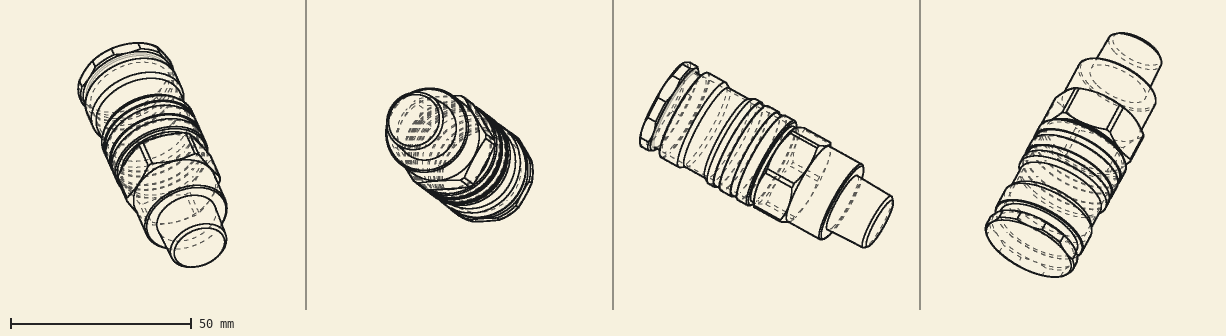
import cadquery as cq
import math

TOTAL_LENGTH = 69.65

CORNER_R = 13.5
HEX_SIDES = 6

NUT_LENGTH = 3.5
NUT_FLAT_R = 12.95
NUT_CHAMFER = 0.5
NUT_FACE_R = 12.95

NECK_R = 23.7 / 2
NECK_FILLET = 0.35
HEX_START = 36.2
HEX_END = 46.65
HEX_FLAT_R = 24.0 / 2
HEX_CHAMFER_ANGLE = 30.0
SHOULDER_R = 23.8 / 2
SHOULDER_END = 57.6
SHOULDER_CHAMFER = 0.4

SPIGOT_BASE_R = 8.6
SPIGOT_TIP_R = 8.15
SPIGOT_CHAMFER = 0.85

SLEEVE_START = 6.55
SLEEVE_END = 35.1
SLEEVE_R = 26.8 / 2
SLEEVE_START_CHAMFER = 0.2
SLEEVE_END_CHAMFER = 0.4
WAIST_R = 25.0 / 2
WAIST_START = 12.5
WAIST_END = 22.0
WAIST_SLOPE = 1.45
GROOVE_R = 26.0 / 2
GROOVE_WIDTH = 2.0
GROOVE_STARTS = (23.95, 29.45)


def revolve_about_x(outline):
    """Close an outline drawn in the XY plane and turn it about the X axis."""
    return outline.close().revolve(360, (0, 0, 0), (1, 0, 0))


def hexagon_bar(start, end, flat_r):
    """Hexagonal bar along X with two of its flats facing up and down."""
    corner_diameter = 2 * flat_r / math.cos(math.pi / HEX_SIDES)
    return cq.Workplane("YZ", origin=(start, 0, 0)).polygon(HEX_SIDES, corner_diameter).extrude(end - start)


def turned_blank(start, end, end_r, chamfer):
    """Disc of the corner radius, chamfered down to end_r at both ends."""
    return revolve_about_x(
        cq.Workplane("XY")
        .moveTo(start, 0)
        .lineTo(start, end_r)
        .lineTo(start + chamfer, CORNER_R)
        .lineTo(end - chamfer, CORNER_R)
        .lineTo(end, end_r)
        .lineTo(end, 0)
    )


def make_nut_end():
    blank = turned_blank(0, NUT_LENGTH, NUT_FACE_R, NUT_CHAMFER)
    return blank.intersect(hexagon_bar(0, NUT_LENGTH, NUT_FLAT_R))


def make_hexagon():
    chamfer = (CORNER_R - SHOULDER_R) * math.tan(math.radians(HEX_CHAMFER_ANGLE))
    blank = turned_blank(HEX_START, HEX_END, SHOULDER_R, chamfer)
    return blank.intersect(hexagon_bar(HEX_START, HEX_END, HEX_FLAT_R))


def make_shaft():
    """Neck, shoulder and tapered spigot in one turned profile."""
    return revolve_about_x(
        cq.Workplane("XY")
        .moveTo(NUT_LENGTH, 0)
        .lineTo(NUT_LENGTH, NECK_R + NECK_FILLET)
        .radiusArc((NUT_LENGTH + NECK_FILLET, NECK_R), -NECK_FILLET)
        .lineTo(HEX_END, NECK_R)
        .lineTo(HEX_END, SHOULDER_R)
        .lineTo(SHOULDER_END - SHOULDER_CHAMFER, SHOULDER_R)
        .lineTo(SHOULDER_END, SHOULDER_R - SHOULDER_CHAMFER)
        .lineTo(SHOULDER_END, SPIGOT_BASE_R)
        .lineTo(TOTAL_LENGTH - SPIGOT_CHAMFER, SPIGOT_TIP_R)
        .lineTo(TOTAL_LENGTH, SPIGOT_TIP_R - SPIGOT_CHAMFER)
        .lineTo(TOTAL_LENGTH, 0)
    )


def make_core():
    return make_shaft().union(make_nut_end()).union(make_hexagon())


def make_sleeve():
    """Grip sleeve with a waist and two grooves, fitted around the neck of the core."""
    outline = (
        cq.Workplane("XY")
        .moveTo(SLEEVE_START, NECK_R)
        .lineTo(SLEEVE_START, SLEEVE_R - SLEEVE_START_CHAMFER)
        .lineTo(SLEEVE_START + SLEEVE_START_CHAMFER, SLEEVE_R)
        .lineTo(WAIST_START, SLEEVE_R)
        .lineTo(WAIST_START + WAIST_SLOPE, WAIST_R)
        .lineTo(WAIST_END - WAIST_SLOPE, WAIST_R)
        .lineTo(WAIST_END, SLEEVE_R)
    )
    for start in GROOVE_STARTS:
        outline = (
            outline.lineTo(start, SLEEVE_R)
            .lineTo(start, GROOVE_R)
            .lineTo(start + GROOVE_WIDTH, GROOVE_R)
            .lineTo(start + GROOVE_WIDTH, SLEEVE_R)
        )
    outline = (
        outline.lineTo(SLEEVE_END - SLEEVE_END_CHAMFER, SLEEVE_R)
        .lineTo(SLEEVE_END, SLEEVE_R - SLEEVE_END_CHAMFER)
        .lineTo(SLEEVE_END, NECK_R)
    )
    return revolve_about_x(outline)


core = make_core()
sleeve = make_sleeve()

result = cq.Compound.makeCompound([core.val(), sleeve.val()])